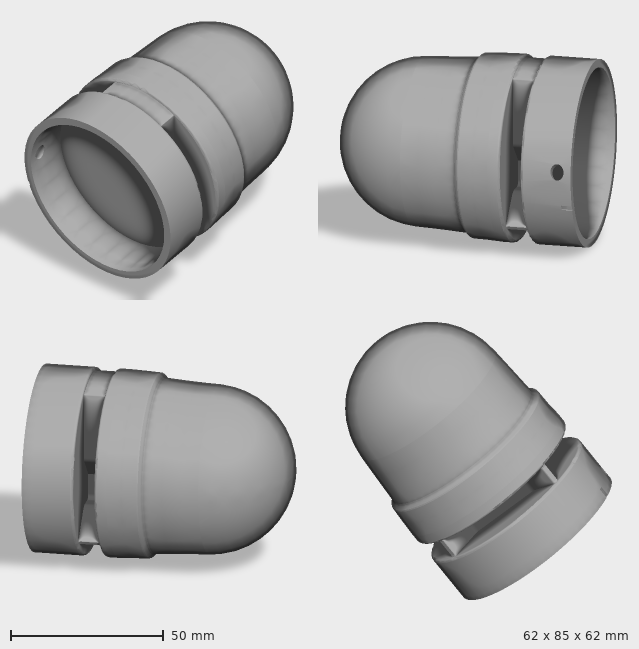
import cadquery as cq
import math

LENGTH = 85.0
OUTER_R = 31.0
RIM_ROUND = 0.9

CUP_LENGTH = 17.1
CUP_MOUTH_R = 28.3
CUP_FLOOR_R = 28.0
CUP_DEPTH = 14.9

HOLE_WIDTH = 4.4
HOLE_HEIGHT = 5.6
HOLE_Y = 4.6
HOLE_Z = 1.95
HOLE_SLOPE = 24.0
HOLE_REACH = 8.5

NOTCH_LENGTH = 3.6
NOTCH_WIDTH = 1.7
NOTCH_DEPTH = 0.3
NOTCH_ANGLE = 20.0

NECK_LENGTH = 7.05
NECK_R = OUTER_R - RIM_ROUND
NECK_CORNER_R = 0.7
NECK_WAIST_DEPTH = 0.2
NECK_WAIST_END = 0.6
POST_HALF_WIDTH = 12.6
POST_BOTTOM_Z = 5.3
POST_BEND_R = 2.1
WEB_HALF_WIDTH = 5.7
FLOOR_Z = -11.05
FLOOR_CORNER_R = 1.7
ARM_THICKNESS = 2.1
ARM_BEND_R = 4.25

COLLAR_Y = CUP_LENGTH + NECK_LENGTH
COLLAR_BAND_TOP_Y = 28.2
COLLAR_TOP_Y = 38.2
COLLAR_TOP_R = 30.6
COLLAR_BEVEL_HEIGHT = 0.4
COLLAR_BEVEL_WIDTH = 0.2
STEP_Y = 39.8
LENS_ROOT_Y = 40.3
LENS_ROOT_R = 29.0
STEP_R = 29.2

DOME_R = 28.0
DOME_CENTRE_Y = LENGTH - DOME_R
LENS_DRAFT = math.radians(3.0)

SIN45 = math.sqrt(0.5)
HALF_BEND = math.radians(22.5)


def turn(profile):
    """Revolve a half profile, drawn as (radius, y), around the Y axis."""
    return profile.close().revolve(360, (0, 0, 0), (0, 1, 0))


def cup():
    rim_inset = RIM_ROUND * (1 - SIN45)
    profile = (
        cq.Workplane("XY")
        .moveTo(0, CUP_DEPTH)
        .lineTo(CUP_FLOOR_R, CUP_DEPTH)
        .lineTo(CUP_MOUTH_R, 0)
        .lineTo(OUTER_R, 0)
        .lineTo(OUTER_R, CUP_LENGTH - RIM_ROUND)
        .threePointArc((OUTER_R - rim_inset, CUP_LENGTH - rim_inset), (OUTER_R - RIM_ROUND, CUP_LENGTH))
        .lineTo(0, CUP_LENGTH)
    )
    return turn(profile)


def side_hole():
    slope = math.radians(HOLE_SLOPE)
    inward = cq.Vector(math.cos(slope), 0, -math.sin(slope)) * HOLE_REACH
    plane = cq.Plane(origin=(-OUTER_R, HOLE_Y, HOLE_Z), xDir=(0, 1, 0), normal=(1, 0, 0))
    mouth = cq.Workplane(plane).ellipse(HOLE_WIDTH / 2, HOLE_HEIGHT / 2).wires().val()
    return cq.Workplane(cq.Solid.extrudeLinear(mouth.translate(-inward), [], inward * 2))


def mouth_notch():
    return (
        cq.Workplane("XY")
        .box(2 * NOTCH_DEPTH, 2 * NOTCH_LENGTH, NOTCH_WIDTH)
        .translate((-OUTER_R, 0, 0))
        .rotate((0, 0, 0), (0, 1, 0), -NOTCH_ANGLE)
    )


def neck_half():
    """The -X half of the neck section: post, web and one radial arm."""
    bend_inset = POST_BEND_R * (1 - SIN45)
    under_x = -POST_HALF_WIDTH + bend_inset
    under_z = POST_BOTTOM_Z - POST_BEND_R * SIN45
    web_top_z = under_z - (-WEB_HALF_WIDTH - under_x)

    arm_rise = ARM_THICKNESS / 2 / SIN45
    bend_end_z = FLOOR_Z - ARM_BEND_R * (1 - SIN45)
    bend_end_x = bend_end_z - arm_rise
    floor_end_x = bend_end_x + ARM_BEND_R * SIN45
    inner_bend_r = ARM_BEND_R - ARM_THICKNESS
    bottom_z = FLOOR_Z - ARM_THICKNESS
    inner_end_x = floor_end_x - inner_bend_r * SIN45
    inner_end_z = bottom_z - inner_bend_r * (1 - SIN45)

    far = NECK_R
    post_centre_x = -POST_HALF_WIDTH + POST_BEND_R
    corner_inset = FLOOR_CORNER_R * (1 - SIN45)
    arm_centre_z = FLOOR_Z - ARM_BEND_R

    def on_arm_bend(radius):
        return (floor_end_x - radius * math.sin(HALF_BEND), arm_centre_z + radius * math.cos(HALF_BEND))

    return (
        cq.Workplane("XZ", origin=(0, CUP_LENGTH, 0))
        .moveTo(0, far)
        .lineTo(-POST_HALF_WIDTH, far)
        .lineTo(-POST_HALF_WIDTH, POST_BOTTOM_Z)
        .threePointArc(
            (
                post_centre_x - POST_BEND_R * math.cos(HALF_BEND),
                POST_BOTTOM_Z - POST_BEND_R * math.sin(HALF_BEND),
            ),
            (under_x, under_z),
        )
        .lineTo(-WEB_HALF_WIDTH, web_top_z)
        .lineTo(-WEB_HALF_WIDTH, FLOOR_Z + FLOOR_CORNER_R)
        .threePointArc(
            (-WEB_HALF_WIDTH - corner_inset, FLOOR_Z + corner_inset),
            (-WEB_HALF_WIDTH - FLOOR_CORNER_R, FLOOR_Z),
        )
        .lineTo(floor_end_x, FLOOR_Z)
        .threePointArc(on_arm_bend(ARM_BEND_R), (bend_end_x, bend_end_z))
        .lineTo(-far, -far + arm_rise)
        .lineTo(-far, -far - arm_rise)
        .lineTo(inner_end_x, inner_end_z)
        .threePointArc(on_arm_bend(inner_bend_r), (floor_end_x, bottom_z))
        .lineTo(0, bottom_z)
        .close()
        .extrude(-NECK_LENGTH)
    )


def neck_waist():
    waist_r = NECK_R - NECK_WAIST_DEPTH
    profile = (
        cq.Workplane("XY")
        .moveTo(NECK_R, CUP_LENGTH)
        .lineTo(waist_r, CUP_LENGTH + NECK_WAIST_END)
        .lineTo(waist_r, COLLAR_Y - NECK_WAIST_END)
        .lineTo(NECK_R, COLLAR_Y)
        .lineTo(OUTER_R, COLLAR_Y)
        .lineTo(OUTER_R, CUP_LENGTH)
    )
    return turn(profile)


def neck():
    half = neck_half()
    disc = cq.Workplane("XZ", origin=(0, CUP_LENGTH, 0)).circle(NECK_R).extrude(-NECK_LENGTH)
    section = half.union(half.mirror("YZ")).intersect(disc).clean()

    def at_outer_corner(edge):
        centre = edge.Center()
        return math.hypot(centre.x, centre.z) > NECK_R - NECK_CORNER_R / 2

    rounded = section.edges("|Y").filter(at_outer_corner).fillet(NECK_CORNER_R)
    return rounded.cut(neck_waist())


def collar_and_lens():
    rim_inset = RIM_ROUND * (1 - SIN45)
    wall_end = (DOME_R * math.cos(LENS_DRAFT), DOME_CENTRE_Y + DOME_R * math.sin(LENS_DRAFT))
    dome_mid = (DOME_R * SIN45, DOME_CENTRE_Y + DOME_R * SIN45)
    profile = (
        cq.Workplane("XY")
        .moveTo(0, COLLAR_Y)
        .lineTo(OUTER_R - RIM_ROUND, COLLAR_Y)
        .threePointArc((OUTER_R - rim_inset, COLLAR_Y + rim_inset), (OUTER_R, COLLAR_Y + RIM_ROUND))
        .lineTo(OUTER_R, COLLAR_BAND_TOP_Y)
        .lineTo(COLLAR_TOP_R, COLLAR_TOP_Y)
        .lineTo(COLLAR_TOP_R - COLLAR_BEVEL_WIDTH, COLLAR_TOP_Y + COLLAR_BEVEL_HEIGHT)
        .lineTo(STEP_R, STEP_Y)
        .lineTo(LENS_ROOT_R, LENS_ROOT_Y)
        .lineTo(*wall_end)
        .threePointArc(dome_mid, (0, LENGTH))
    )
    return turn(profile)


result = (
    cup()
    .cut(side_hole())
    .cut(mouth_notch())
    .union(neck())
    .union(collar_and_lens())
)